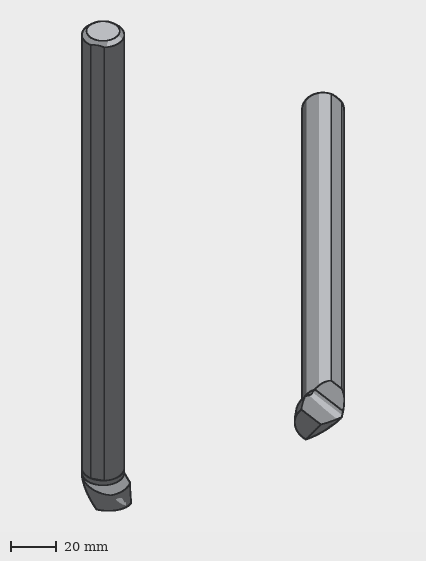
import cadquery as cq


total_length = 255.2
bar_radius = 9.32
flat_offset = 8.8
top_chamfer = 2.0
joint_z = 16.3

collar_end_z = 13.8
shoulder_z = 10.0
shoulder_radius = 12.0
tip_reach = 12.9
flank_radius = 11.1
flank_offset = tip_reach - flank_radius

chip_top_z = 23.2
chip_bend_y = 2.8
chip_bend_z = 14.8
chip_mid_y = 0.8
chip_mid_z = 7.7
rake_y = 0.0

back_relief_top_z = 14.3
back_relief_foot_x = 1.3
end_relief_rise = 1.5

cutter_span = 51.0


def make_bar():
    bar = cq.Workplane("XY").workplane(offset=joint_z).circle(bar_radius).extrude(total_length - joint_z)
    bar = bar.faces(">Z").chamfer(top_chamfer)
    between_flats = (
        cq.Workplane("XY")
        .workplane(offset=joint_z)
        .rect(cutter_span, 2 * flat_offset)
        .extrude(total_length - joint_z)
    )
    return bar.intersect(between_flats)


def make_head_blank():
    """Flared body about the bar axis, trimmed below the joint by the eccentric flank."""
    flare = (
        cq.Workplane("XZ")
        .moveTo(0, 0)
        .lineTo(tip_reach, 0)
        .lineTo(shoulder_radius, shoulder_z)
        .lineTo(bar_radius, collar_end_z)
        .lineTo(bar_radius, joint_z)
        .lineTo(0, joint_z)
        .close()
        .revolve(360, (0, 0, 0), (0, 1, 0))
    )
    flank = cq.Workplane("XY").center(flank_offset, 0).circle(flank_radius).extrude(collar_end_z)
    collar = cq.Workplane("XY").workplane(offset=collar_end_z).circle(bar_radius).extrude(joint_z - collar_end_z)
    return flare.intersect(flank.union(collar))


def make_chip_cutter():
    """Everything on the +Y side of the runout slope and the curved chip face."""
    return (
        cq.Workplane("YZ")
        .moveTo(rake_y, 0)
        .threePointArc((chip_mid_y, chip_mid_z), (chip_bend_y, chip_bend_z))
        .lineTo(flat_offset, chip_top_z)
        .lineTo(cutter_span, chip_top_z)
        .lineTo(cutter_span, 0)
        .close()
        .extrude(cutter_span / 2, both=True)
    )


def make_back_relief():
    """Inclined cut on the -X side, from the collar down to the end face."""
    return (
        cq.Workplane("XZ")
        .moveTo(-bar_radius, back_relief_top_z)
        .lineTo(back_relief_foot_x, 0)
        .lineTo(-cutter_span, 0)
        .lineTo(-cutter_span, back_relief_top_z)
        .close()
        .extrude(cutter_span / 2, both=True)
    )


def make_end_relief():
    """Wedge below the end face, which rises from the cutting edge toward -Y."""
    return (
        cq.Workplane("YZ")
        .moveTo(rake_y, 0)
        .lineTo(-flank_radius, end_relief_rise)
        .lineTo(-flank_radius, 0)
        .close()
        .extrude(cutter_span / 2, both=True)
    )


chip_cutter = make_chip_cutter()
bar = make_bar().cut(chip_cutter)
head = make_head_blank().cut(chip_cutter).cut(make_back_relief()).cut(make_end_relief())

result = cq.Compound.makeCompound([bar.solids().val(), head.solids().val()])